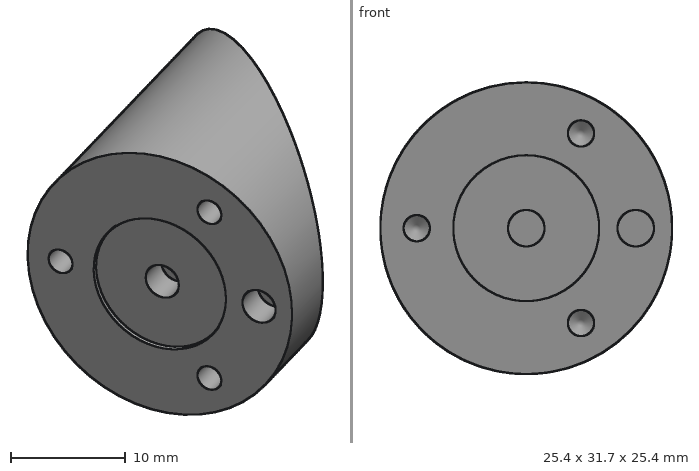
import cadquery as cq
import math

body_diameter = 25.4
body_length = 31.75
short_side_length = body_length - body_diameter

recess_diameter = 12.7
recess_depth = 0.5
pin_hole_diameter = 3.18
pin_hole_depth = 3.18
screw_hole_diameter = 2.3
screw_hole_depth = 4.45
drill_point_angle = 118.0
hole_circle_radius = 9.52
pin_hole_angle = 0.0
screw_hole_angles = (60.0, 180.0, 300.0)


def cylinder_from_face(diameter, depth, x=0.0, z=0.0, start=0.0):
    """Cylinder along +Y, starting at the given depth behind the mounting face."""
    return cq.Workplane(
        cq.Solid.makeCylinder(diameter / 2, depth, cq.Vector(x, start, z), cq.Vector(0, 1, 0))
    )


def drilled_hole(diameter, depth, x, z):
    """Blind hole with a conical drill point beyond its straight depth."""
    radius = diameter / 2
    tip_length = radius / math.tan(math.radians(drill_point_angle / 2))
    profile = [(0, 0), (radius, 0), (radius, depth), (0, depth + tip_length)]
    hole = cq.Workplane("XY").polyline(profile).close().revolve(360, (0, 0, 0), (0, 1, 0))
    return hole.translate((x, 0, z))


def on_hole_circle(angle):
    """X and Z of a point on the hole circle."""
    turn = math.radians(angle)
    return hole_circle_radius * math.cos(turn), hole_circle_radius * math.sin(turn)


body_radius = body_diameter / 2
side_profile = [
    (-body_radius, 0),
    (body_radius, 0),
    (body_radius, short_side_length),
    (-body_radius, body_length),
]
wedge = cq.Workplane("XY").polyline(side_profile).close().extrude(body_radius, both=True)
result = wedge.intersect(cylinder_from_face(body_diameter, body_length))

result = result.cut(cylinder_from_face(recess_diameter, recess_depth))
result = result.cut(cylinder_from_face(pin_hole_diameter, pin_hole_depth, start=recess_depth))

pin_x, pin_z = on_hole_circle(pin_hole_angle)
result = result.cut(cylinder_from_face(pin_hole_diameter, pin_hole_depth, pin_x, pin_z))

for screw_angle in screw_hole_angles:
    screw_x, screw_z = on_hole_circle(screw_angle)
    result = result.cut(drilled_hole(screw_hole_diameter, screw_hole_depth, screw_x, screw_z))